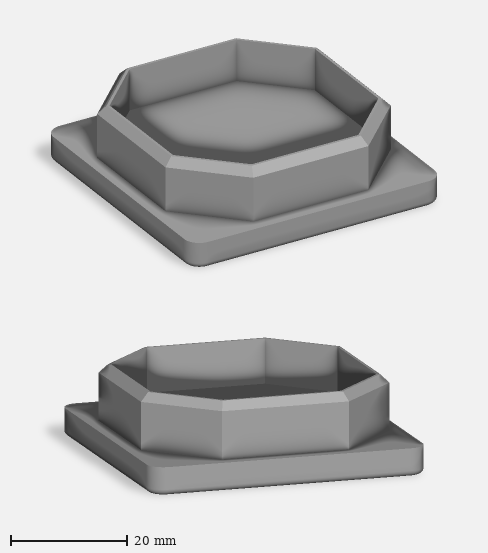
import cadquery as cq
import math

base_side = 50.0
base_height = 5.0
base_corner_radius = 3.0
base_bottom_fillet = 1.0

ring_width = 45.0
ring_height = 10.0
ring_corner_cut = 11.0
quarter_turns = 4
wall_thickness = 2.0
ring_top_chamfer = 1.5

pocket_depth = 8.0


def make_base():
    """Plate with rounded vertical corners and a rounded bottom edge."""
    plate = cq.Workplane("XY").box(base_side, base_side, base_height, centered=(True, True, False))
    plate = plate.edges("|Z").fillet(base_corner_radius)
    return plate.faces("<Z").edges().fillet(base_bottom_fillet)


def octagon_points(inset):
    """Corners of the wall outline moved inward by an equal distance on all eight sides."""
    half_width = ring_width / 2 - inset
    half_flat = ring_width / 2 - ring_corner_cut - inset * (math.sqrt(2) - 1)
    flat_side = [(half_width, -half_flat), (half_width, half_flat)]
    points = []
    for _ in range(quarter_turns):
        points += flat_side
        flat_side = [(-y, x) for x, y in flat_side]
    return points


def make_raised_block():
    """Solid eight-sided block standing on the base, chamfered around its top."""
    block = cq.Workplane("XY", origin=(0, 0, base_height))
    block = block.polyline(octagon_points(0)).close().extrude(ring_height)
    return block.faces(">Z").edges().chamfer(ring_top_chamfer)


def make_pocket():
    """Eight-sided cutter that leaves an even wall and opens at the top rim."""
    pocket = cq.Workplane("XY", origin=(0, 0, base_height + ring_height))
    return pocket.polyline(octagon_points(wall_thickness)).close().extrude(-pocket_depth)


result = make_base().union(make_raised_block()).cut(make_pocket())